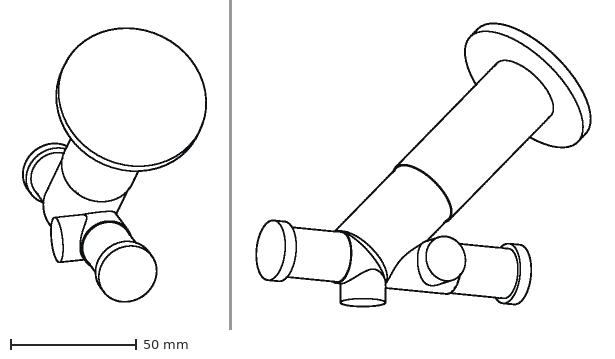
import cadquery as cq
import math

body_diameter = 21.0
body_length = 50.0
pipe_diameter = 20.0
pipe_length = 26.0
collar_diameter = 24.0
collar_thickness = 5.0

port_diameter = 18.0
port_reach = 17.5
port_offset = 14.0

branch_angle = math.radians(45.0)
branch_start_x = -16.0
socket_diameter = 29.0
socket_length = 41.0
tube_diameter = 30.0
flange_diameter = 60.0
flange_thickness = 5.0
branch_length = 111.4
tube_length = branch_length - socket_length - flange_thickness


def cylinder(diameter, length, start, direction):
    """Solid cylinder growing from the start point along a direction."""
    return cq.Workplane(
        cq.Solid.makeCylinder(diameter / 2, length, cq.Vector(*start), cq.Vector(*direction))
    )


def stacked_cylinders(sections, start, direction):
    """Coaxial (diameter, length) sections joined end to end; direction is a unit vector."""
    stack = cq.Workplane()
    position = cq.Vector(*start)
    axis = cq.Vector(*direction)
    for diameter, length in sections:
        stack = stack.union(cylinder(diameter, length, position.toTuple(), direction))
        position = position + axis * length
    return stack


def straight_run():
    """Body with a collared pipe at each end."""
    collar = (collar_diameter, collar_thickness)
    pipe = (pipe_diameter, pipe_length)
    body = (body_diameter, body_length)
    start_x = -(body_length / 2 + pipe_length + collar_thickness)
    return stacked_cylinders([collar, pipe, body, pipe, collar], (start_x, 0, 0), (1, 0, 0))


def side_ports():
    """Downward port near the -X end and a -Y port near the +X end of the body."""
    down_port = cylinder(port_diameter, port_reach, (-port_offset, 0, 0), (0, 0, -1))
    front_port = cylinder(port_diameter, port_reach, (port_offset, 0, 0), (0, -1, 0))
    return down_port.union(front_port)


def inclined_branch():
    """Socket, tube and end flange on the sloping axis."""
    direction = (math.cos(branch_angle), 0, math.sin(branch_angle))
    sections = [
        (socket_diameter, socket_length),
        (tube_diameter, tube_length),
        (flange_diameter, flange_thickness),
    ]
    return stacked_cylinders(sections, (branch_start_x, 0, 0), direction)


result = straight_run().union(side_ports()).union(inclined_branch())